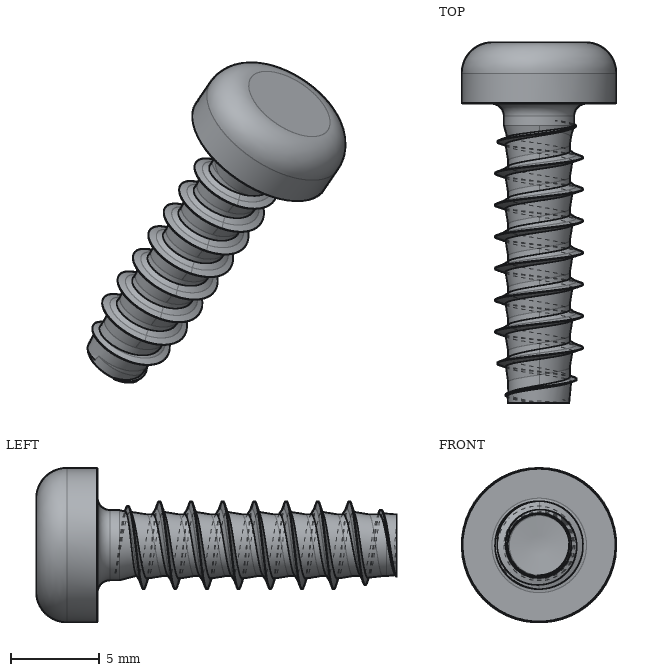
import cadquery as cq
import math


LENGTH = 20.5
HEAD_RADIUS = 4.395
HEAD_HEIGHT = 3.5
HEAD_ROUNDING = HEAD_HEIGHT / 2
RIM_CHAMFER = 0.06

NECK_RADIUS = 2.0
NECK_FILLET = 0.68
NECK_END = 4.71

CORE_RADIUS = 1.76
CORE_START = 5.63
TIP_TAPER = 0.61
TIP_RADIUS = 1.7
TIP_DISH_DEPTH = 0.15

PITCH = 1.8
CREST_RADIUS = 2.5
THREAD_START = 4.3
THREAD_START_ANGLE = -90.0
LEAD_IN_TURNS = 1.0
FULL_TURNS = 6.5
RUN_OUT_TURNS = 1.5
POINTS_PER_TURN = 24

BURIED_RADIUS = 0.82
FRONT_FOOT = (-0.43, 1.65)
FRONT_SHOULDER = (-0.16, 2.1)
CREST_HALF_WIDTH = 0.02
REAR_FOOT = (0.2, 1.9)
RAMP_FOOT = (1.33, 1.72)
START_CREST_RADIUS = 1.97
END_CREST_RADIUS = 1.78
END_REAR_FOOT_RADIUS = 1.772


def make_body():
    """Head, neck and core as one turned shape."""
    corner = HEAD_ROUNDING * math.sqrt(0.5)
    neck_corner = NECK_FILLET * (1 - math.sqrt(0.5))
    profile = (
        cq.Workplane("YZ")
        .lineTo(HEAD_RADIUS - HEAD_ROUNDING, 0)
        .threePointArc(
            (HEAD_RADIUS - HEAD_ROUNDING + corner, HEAD_ROUNDING - corner),
            (HEAD_RADIUS, HEAD_ROUNDING),
        )
        .lineTo(HEAD_RADIUS, HEAD_HEIGHT - RIM_CHAMFER)
        .lineTo(HEAD_RADIUS - RIM_CHAMFER, HEAD_HEIGHT)
        .lineTo(NECK_RADIUS + NECK_FILLET, HEAD_HEIGHT)
        .threePointArc(
            (NECK_RADIUS + neck_corner, HEAD_HEIGHT + neck_corner),
            (NECK_RADIUS, HEAD_HEIGHT + NECK_FILLET),
        )
        .lineTo(NECK_RADIUS, NECK_END)
        .lineTo(CORE_RADIUS, CORE_START)
        .lineTo(CORE_RADIUS, LENGTH - TIP_TAPER)
        .lineTo(TIP_RADIUS, LENGTH)
        .lineTo(0, LENGTH)
        .close()
    )
    return profile.revolve(360, (0, 0, 0), (0, 1, 0))


def make_tip_dish():
    """Shallow cone to be sunk into the end face of the tip."""
    profile = (
        cq.Workplane("YZ")
        .moveTo(0, LENGTH - TIP_DISH_DEPTH)
        .lineTo(TIP_RADIUS, LENGTH)
        .lineTo(0, LENGTH)
        .close()
    )
    return profile.revolve(360, (0, 0, 0), (0, 1, 0))


def thread_section(crest_radius, rear_foot_radius):
    """Corners of the thread section, its front sunk into the core and its rear flank shortened to match."""
    sink = CREST_RADIUS - crest_radius
    flank_share = (crest_radius - rear_foot_radius) / (CREST_RADIUS - REAR_FOOT[1])
    rear_foot_along = CREST_HALF_WIDTH + (REAR_FOOT[0] - CREST_HALF_WIDTH) * flank_share
    return [
        (FRONT_FOOT[0], BURIED_RADIUS),
        (FRONT_FOOT[0], FRONT_FOOT[1] - sink),
        (FRONT_SHOULDER[0], FRONT_SHOULDER[1] - sink),
        (-CREST_HALF_WIDTH, crest_radius),
        (CREST_HALF_WIDTH, crest_radius),
        (rear_foot_along, rear_foot_radius),
        RAMP_FOOT,
        (RAMP_FOOT[0], BURIED_RADIUS),
    ]


def thread_point(corner, turn):
    """Position of a section corner after the given number of turns."""
    along, radius = corner
    angle = math.radians(THREAD_START_ANGLE + 360 * turn)
    return cq.Vector(
        radius * math.cos(angle), radius * math.sin(angle), THREAD_START + along + PITCH * turn
    )


def thread_edge(first_corner, last_corner, first_turn, last_turn):
    """Helical edge drifting evenly from one corner to the other."""
    steps = round((last_turn - first_turn) * POINTS_PER_TURN)
    points = []
    for step in range(steps + 1):
        part = step / steps
        along = first_corner[0] + (last_corner[0] - first_corner[0]) * part
        radius = first_corner[1] + (last_corner[1] - first_corner[1]) * part
        turn = first_turn + (last_turn - first_turn) * part
        points.append(thread_point((along, radius), turn))
    return cq.Edge.makeSpline(points)


def thread_faces(first_section, last_section, first_turn, last_turn):
    """Helical faces around one stretch of the thread."""
    edges = [
        thread_edge(first, last, first_turn, last_turn) for first, last in zip(first_section, last_section)
    ]
    return [cq.Face.makeRuledSurface(edge, edges[index - 1]) for index, edge in enumerate(edges)]


def thread_cap(section, turn):
    """Flat face closing the thread at one end."""
    points = [thread_point(corner, turn) for corner in section]
    return cq.Face.makeFromWires(cq.Wire.makePolygon(points, close=True))


def make_thread():
    """Thread that rises from the neck, runs at full height and sinks away at the tip."""
    start_section = thread_section(START_CREST_RADIUS, REAR_FOOT[1])
    full_section = thread_section(CREST_RADIUS, REAR_FOOT[1])
    end_section = thread_section(END_CREST_RADIUS, END_REAR_FOOT_RADIUS)
    full_end = LEAD_IN_TURNS + FULL_TURNS
    last_turn = full_end + RUN_OUT_TURNS

    stations = [(0, start_section)]
    for whole_turn in range(math.ceil(FULL_TURNS)):
        stations.append((LEAD_IN_TURNS + whole_turn, full_section))
    stations.append((full_end, full_section))
    stations.append((last_turn, end_section))

    faces = [thread_cap(start_section, 0), thread_cap(end_section, last_turn)]
    for (first_turn, first_section), (next_turn, next_section) in zip(stations, stations[1:]):
        faces += thread_faces(first_section, next_section, first_turn, next_turn)
    return cq.Workplane(cq.Solid.makeSolid(cq.Shell.makeShell(faces)))


def make_screw():
    """Body and thread joined, the thread trimmed flush at the tip and the end face dished."""
    beyond_tip = cq.Workplane().workplane(offset=LENGTH).circle(HEAD_RADIUS).extrude(PITCH * 2)
    thread = make_thread().cut(beyond_tip)
    screw = make_body().union(thread).cut(make_tip_dish())
    return screw.rotate((0, 0, 0), (1, 0, 0), 90)


result = make_screw()